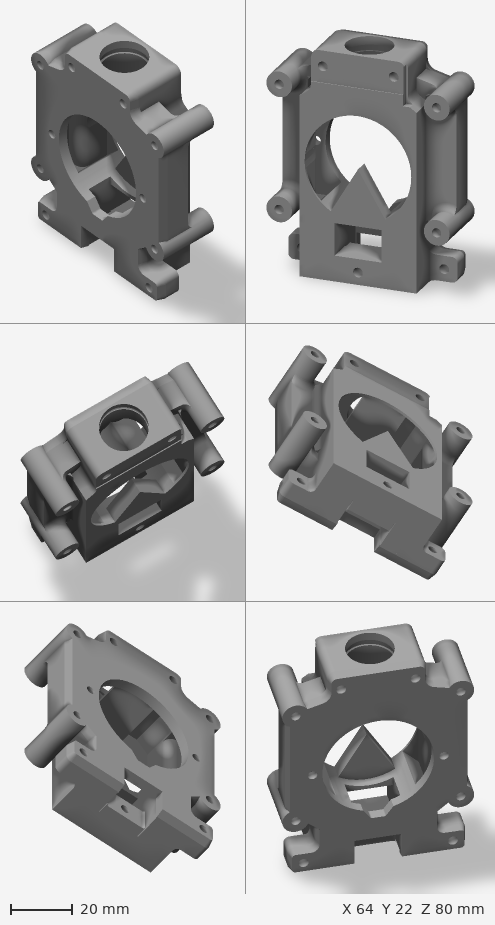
import cadquery as cq
import math

HEIGHT = 80.0
HALF_WIDTH = 32.0
DEPTH = 22.0
PLATE_DEPTH = 3.6
SHELF_Y = 12.0
LIP_Y = 14.2
BEVEL_DEPTH = 3.0
BEVEL_ANGLE = 16.0

CROWN_X = 16.5
CROWN_ROUND = 2.7
SHOULDER_Z = 71.2
SHOULDER_SLOPE = 15.0
SHOULDER_ROUND = 3.2
SIDE_X = 30.4
NECK_X = 20.5
NECK_TOP_Z = 17.0
NECK_FOOT_Z = 13.0
HAUNCH_X = 24.8
HAUNCH_Z = 20.6
FOOT_X = 29.6
FOOT_Z = 9.0
FOOT_ROUND = 2.0
FOOT_COVE = 1.9
FOOT_BACK_Y = 8.8

BOSS_D = 9.0
BOSS_HOLE_D = 3.2
BOSS_X = HALF_WIDTH - BOSS_D / 2
BOSS_LOW_Z = 22.3
BOSS_HIGH_Z = 66.1
COVE_R = LIP_Y - SHELF_Y
SCREW_D = 3.4
CROWN_SCREW_X = 12.4
CROWN_SCREW_Z = 74.5
FOOT_SCREW_X = 24.9
FOOT_SCREW_Z = 4.3
SIDE_SCREW_X = 21.9
SIDE_SCREW_D = 3.2

BORE_Z = 40.4
BORE_R = 18.6
CHAMBER_X = 18.5
CHAMBER_TOP_Z = 65.6
CEILING_X = 14.0
CEILING_LOW_Z = 61.2
CHAMBER_BACK_Y = 21.1
CRADLE_X = 13.1
CRADLE_Z = 27.2
POCKET_X = 24.8
POCKET_LOW_Z = 21.8
POCKET_HIGH_Z = 60.0
POCKET_BACK_Y = 10.0
POCKET_ROUND = 3.4
NOTCH_TOP_X = 5.6
NOTCH_LOW_X = 2.4
NOTCH_TOP_Z = 23.2
NOTCH_LOW_Z = 18.8
NOTCH_ROUND = 0.8
WEDGE_FRONT_Y = 16.4
WEDGE_HALF_ANGLE = 30.6

TUNNEL_X = 8.2
TUNNEL_LOW_Z = 9.0
TUNNEL_HIGH_Z = 20.4
SHAFT_BACK_Y = 13.1
DRAIN_X = 7.8
SLOT_X = 7.9
SLOT_TOP_Z = 10.3
SLOT_ROUND = 1.0
SLOT_BACK_Y = 9.6

INLET_R = 8.1
INLET_Y = 11.8
GROOVE_R = 8.8
GROOVE_LOW_Z = 74.8
GROOVE_HIGH_Z = 77.0
DEFLECTOR_X = 7.8
DEFLECTOR_LOW_Z = 59.6
DEFLECTOR_TOP_Z = 65.2
DEFLECTOR_FLANK_X = 5.3
DEFLECTOR_FLANK_Z = 60.8
DEFLECTOR_FLANK_R = 5.6

LIP_TOP_Z = 63.2
FLARE_Z = 66.0
FLARE_ROUND = 3.2
CORNER_CUT_X = 15.8
CORNER_CUT_Y = 19.4
CORNER_CUT_LOW_Z = 64.8
CORNER_CUT_HIGH_Z = 78.7
CROWN_BACK_Y = 21.7
CROWN_BACK_Z = 68.8


def shoulder_z(x):
    """Height of the sloped shoulder at distance x from the middle."""
    return SHOULDER_Z - (x - CROWN_X) * math.tan(math.radians(SHOULDER_SLOPE))


def mirrored(half):
    """Close a right-hand half outline, listed from top to bottom, with its mirror image."""
    return half + [(-x, z, r) for x, z, r in reversed(half)]


def rounded_wire(corners, y):
    """Closed wire in the XZ plane at y; each corner is (x, z, radius) with 0 for a sharp corner."""
    count = len(corners)
    arcs = []
    for i, (x, z, radius) in enumerate(corners):
        point = cq.Vector(x, y, z)
        if radius == 0:
            arcs.append((point, None, point))
            continue
        before = cq.Vector(corners[i - 1][0], y, corners[i - 1][1])
        after = cq.Vector(corners[(i + 1) % count][0], y, corners[(i + 1) % count][1])
        to_before = (before - point).normalized()
        to_after = (after - point).normalized()
        half_angle = to_before.getAngle(to_after) / 2
        setback = radius / math.tan(half_angle)
        middle = (to_before + to_after).normalized() * (radius / math.sin(half_angle) - radius)
        arcs.append((point + to_before * setback, point + middle, point + to_after * setback))
    edges = []
    for i, (start, middle, end) in enumerate(arcs):
        if middle is not None:
            edges.append(cq.Edge.makeThreePointArc(start, middle, end))
        edges.append(cq.Edge.makeLine(end, arcs[(i + 1) % count][0]))
    return cq.Wire.assembleEdges(edges)


def prism(corners, y_from, y_to):
    """Rounded outline extruded along Y."""
    wire = rounded_wire(corners, y_from)
    return cq.Workplane(cq.Solid.extrudeLinear(wire, [], cq.Vector(0, y_to - y_from, 0)))


def block(x, y, z):
    """Box from (low, high) pairs."""
    size = (x[1] - x[0], y[1] - y[0], z[1] - z[0])
    return cq.Workplane().box(*size, centered=False).translate((x[0], y[0], z[0]))


def rod(radius, x, z, y_from=0.0, y_to=DEPTH):
    """Cylinder along Y."""
    start = cq.Vector(x, y_from, z)
    return cq.Workplane(cq.Solid.makeCylinder(radius, y_to - y_from, start, cq.Vector(0, 1, 0)))


def post(radius, x, y, z_from, z_to):
    """Cylinder along Z."""
    return cq.Workplane(cq.Solid.makeCylinder(radius, z_to - z_from, cq.Vector(x, y, z_from)))


BOSS_PLACES = [(side * BOSS_X, z) for side in (-1, 1) for z in (BOSS_LOW_Z, BOSS_HIGH_Z)]


def housing_half(shoulder_round):
    """Right-hand outline of the housing from the crown down to the top of the neck."""
    return [
        (CROWN_X, HEIGHT, CROWN_ROUND),
        (CROWN_X, SHOULDER_Z, shoulder_round),
        (SIDE_X, shoulder_z(SIDE_X), 0),
        (SIDE_X, BOSS_LOW_Z, 0),
        (HAUNCH_X, HAUNCH_Z, 0),
        (NECK_X, NECK_TOP_Z, 0),
    ]


def front_plate():
    feet = [
        (NECK_X, FOOT_Z, FOOT_COVE),
        (FOOT_X, FOOT_Z, FOOT_ROUND),
        (FOOT_X, 0, FOOT_ROUND),
    ]
    outline = mirrored(housing_half(SHOULDER_ROUND) + feet)
    face = cq.Face.makeFromWires(rounded_wire(outline, BEVEL_DEPTH))
    bevel = cq.Solid.extrudeLinear(face, cq.Vector(0, -BEVEL_DEPTH, 0), BEVEL_ANGLE)
    return prism(outline, BEVEL_DEPTH, PLATE_DEPTH).union(cq.Workplane(bevel))


def middle_outline():
    return mirrored(housing_half(0) + [(NECK_X, NECK_FOOT_Z, 0)])


def coves():
    """Concave rounds where the lip and the bosses rise from the shelf."""
    lip_cove = block((0, COVE_R), (SHELF_Y, LIP_Y), (BOSS_LOW_Z, BOSS_HIGH_Z))
    lip_cove = lip_cove.cut(post(COVE_R, COVE_R, LIP_Y, BOSS_LOW_Z, BOSS_HIGH_Z))
    lip_cove = lip_cove.translate((NECK_X, 0, 0))
    cove = lip_cove.union(lip_cove.mirror("YZ"))
    radius = BOSS_D / 2
    overlap = 0.8
    for x, z in BOSS_PLACES:
        ring = (
            cq.Workplane()
            .moveTo(radius - overlap, 0)
            .lineTo(radius + COVE_R, 0)
            .radiusArc((radius, COVE_R), COVE_R)
            .lineTo(radius - overlap, COVE_R)
            .close()
            .revolve(360, (0, 0, 0), (0, 1, 0))
            .translate((x, SHELF_Y, z))
        )
        cove = cove.union(ring)
    return cove.intersect(prism(middle_outline(), SHELF_Y, LIP_Y))


def chamber():
    """Hollow behind the front plate: a box above, a cradle concentric with the bore below."""
    half = [
        (CEILING_X, CHAMBER_TOP_Z, 0),
        (CHAMBER_X, CEILING_LOW_Z, 0),
        (CHAMBER_X, CRADLE_Z - (CHAMBER_X - CRADLE_X), 0),
        (CRADLE_X, CRADLE_Z, 0),
    ]
    hollow = prism(mirrored(half), PLATE_DEPTH, CHAMBER_BACK_Y)
    hollow = hollow.union(rod(BORE_R, 0, BORE_Z))
    shaft = block((-TUNNEL_X, TUNNEL_X), (PLATE_DEPTH, SHAFT_BACK_Y), (TUNNEL_LOW_Z, CRADLE_Z))
    outlet = block((-TUNNEL_X, TUNNEL_X), (PLATE_DEPTH, DEPTH), (TUNNEL_LOW_Z, TUNNEL_HIGH_Z))
    return hollow.union(shaft).union(outlet)


def side_pockets():
    """Pockets behind the plate beside the chamber, with rounded edges where they meet it."""
    heights = (POCKET_LOW_Z, POCKET_HIGH_Z)
    round_x = CHAMBER_X + POCKET_ROUND
    round_y = POCKET_BACK_Y + POCKET_ROUND
    mouth = block((CHAMBER_X, round_x), (POCKET_BACK_Y, round_y), heights)
    mouth = mouth.cut(post(POCKET_ROUND, round_x, round_y, *heights))
    right = block((CHAMBER_X, POCKET_X), (PLATE_DEPTH, POCKET_BACK_Y), heights).union(mouth)
    return right.union(right.mirror("YZ"))


def inlet():
    """Round inlet through the top, with a groove around it."""
    hole = post(INLET_R, 0, INLET_Y, CHAMBER_TOP_Z, HEIGHT)
    return hole.union(post(GROOVE_R, 0, INLET_Y, GROOVE_LOW_Z, GROOVE_HIGH_Z))


def crown_screws():
    right = rod(SCREW_D / 2, CROWN_SCREW_X, CROWN_SCREW_Z)
    return right.union(right.mirror("YZ"))


def foot_screws():
    holes = rod(SCREW_D / 2, 0, FOOT_SCREW_Z)
    for side in (-1, 1):
        holes = holes.union(rod(SCREW_D / 2, side * FOOT_SCREW_X, FOOT_SCREW_Z))
    return holes


def slot():
    """Slot at the middle of the foot, open to the front and below."""
    half = [(SLOT_X, SLOT_TOP_Z, 0), (SLOT_X, 0, 0)]
    return prism(mirrored(half), 0, SLOT_BACK_Y).edges("|Z and >Y").fillet(SLOT_ROUND)


def deflector():
    """Ridge under the inlet whose two hollow flanks part to the left and right."""
    profile = (
        cq.Workplane("XZ", origin=(0, PLATE_DEPTH, 0))
        .moveTo(-DEFLECTOR_X, DEFLECTOR_LOW_Z)
        .lineTo(-DEFLECTOR_X, DEFLECTOR_FLANK_Z)
        .lineTo(-DEFLECTOR_FLANK_X, DEFLECTOR_FLANK_Z)
        .radiusArc((0, DEFLECTOR_TOP_Z), -DEFLECTOR_FLANK_R)
        .radiusArc((DEFLECTOR_FLANK_X, DEFLECTOR_FLANK_Z), -DEFLECTOR_FLANK_R)
        .lineTo(DEFLECTOR_X, DEFLECTOR_FLANK_Z)
        .lineTo(DEFLECTOR_X, DEFLECTOR_LOW_Z)
        .close()
    )
    return profile.extrude(PLATE_DEPTH - CHAMBER_BACK_Y)


def make_front_housing():
    body = front_plate().union(prism(middle_outline(), PLATE_DEPTH, SHELF_Y))
    body = body.union(block((-NECK_X, NECK_X), (SHELF_Y, LIP_Y), (NECK_FOOT_Z, LIP_TOP_Z)))
    body = body.union(coves())
    for x, z in BOSS_PLACES:
        body = body.union(rod(BOSS_D / 2, x, z))
    body = body.cut(chamber()).cut(side_pockets()).cut(inlet()).cut(slot())
    notch = [(NOTCH_TOP_X, NOTCH_TOP_Z, 0), (NOTCH_LOW_X, NOTCH_LOW_Z, NOTCH_ROUND)]
    body = body.cut(prism(mirrored(notch), 0, PLATE_DEPTH))
    body = body.union(deflector())
    for x, z in BOSS_PLACES:
        body = body.cut(rod(BOSS_HOLE_D / 2, x, z))
    for side in (-1, 1):
        body = body.cut(rod(SIDE_SCREW_D / 2, side * SIDE_SCREW_X, BORE_Z, 0, PLATE_DEPTH))
    return body.cut(crown_screws()).cut(foot_screws())


def make_upper_cover():
    half = [
        (CROWN_X, HEIGHT, CROWN_ROUND),
        (CROWN_X, FLARE_Z, FLARE_ROUND),
        (NECK_X, LIP_TOP_Z, 0),
        (NECK_X, BORE_Z, 0),
    ]
    body = prism(mirrored(half), SHELF_Y, DEPTH)
    body = body.cut(block((-NECK_X, NECK_X), (SHELF_Y, LIP_Y), (BORE_Z, LIP_TOP_Z)))
    body = body.cut(chamber()).cut(inlet()).cut(crown_screws())
    body = body.cut(block((-NECK_X, NECK_X), (CROWN_BACK_Y, DEPTH), (CROWN_BACK_Z, HEIGHT)))
    corner = block((-NECK_X, -CORNER_CUT_X), (CORNER_CUT_Y, DEPTH), (CORNER_CUT_LOW_Z, CORNER_CUT_HIGH_Z))
    return body.cut(corner)


def wedge():
    """Pointed web that reaches up to the middle of the bore."""
    half_width = BORE_R * math.tan(math.radians(WEDGE_HALF_ANGLE))
    corners = [(0, BORE_Z, 0), (half_width, BORE_Z - BORE_R, 0), (-half_width, BORE_Z - BORE_R, 0)]
    return prism(corners, WEDGE_FRONT_Y, DEPTH)


def make_lower_cover():
    walls = block((-NECK_X, NECK_X), (PLATE_DEPTH, DEPTH), (0, NECK_FOOT_Z))
    walls = walls.union(block((-NECK_X, NECK_X), (LIP_Y, DEPTH), (NECK_FOOT_Z, BORE_Z)))
    foot = [
        (FOOT_X, FOOT_Z, FOOT_ROUND),
        (FOOT_X, 0, FOOT_ROUND),
    ]
    body = walls.union(prism(mirrored(foot), PLATE_DEPTH, FOOT_BACK_Y))
    slack = 0.1
    for side in (-1, 1):
        low = (side * NECK_X - slack, PLATE_DEPTH - slack, -slack)
        high = (side * NECK_X + slack, FOOT_BACK_Y + slack, FOOT_Z + slack)
        joint = cq.selectors.BoxSelector(low, high)
        body = body.edges(joint).fillet(FOOT_COVE)
    body = body.cut(chamber()).union(wedge())
    body = body.cut(slot())
    for side in (-1, 1):
        drain = sorted((side * DRAIN_X, side * TUNNEL_X))
        body = body.cut(block(drain, (PLATE_DEPTH, SHAFT_BACK_Y), (0, TUNNEL_LOW_Z)))
    return body.cut(foot_screws())


front_housing = make_front_housing()
upper_cover = make_upper_cover()
lower_cover = make_lower_cover()

result = cq.Compound.makeCompound(
    [*front_housing.solids().vals(), *upper_cover.solids().vals(), *lower_cover.solids().vals()]
)